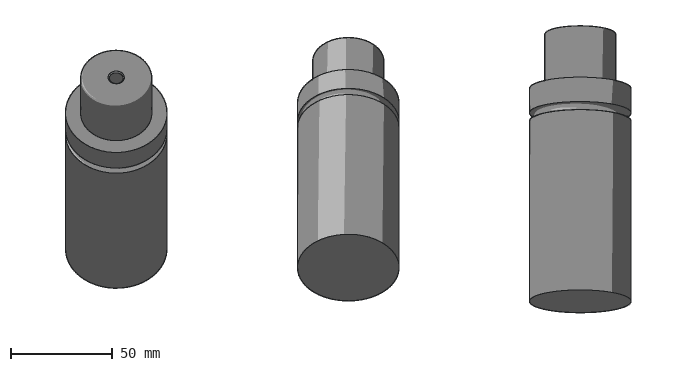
import cadquery as cq
import math

total_height = 135.0
body_diameter = 50.0
body_radius = body_diameter / 2

spigot_diameter = 35.1
spigot_height = 27.8
spigot_rim_radius = 1.0
shoulder_z = total_height - spigot_height

collar_height = 12.3
groove_radius = 2.0
groove_z = shoulder_z - collar_height - groove_radius

hole_diameter = 6.8
hole_mouth_diameter = 8.0
hole_depth = 20.2
drill_point_angle = 118.0


def make_body():
    """Cylindrical body with the rounded spigot standing on it."""
    body = cq.Workplane("XY").circle(body_radius).extrude(shoulder_z)
    spigot = (
        cq.Workplane("XY")
        .workplane(offset=shoulder_z)
        .circle(spigot_diameter / 2)
        .extrude(spigot_height)
        .faces(">Z")
        .edges()
        .fillet(spigot_rim_radius)
    )
    return body.union(spigot)


def make_groove():
    """Ring of circular section centred on the body surface."""
    return cq.Workplane("XY").add(
        cq.Solid.makeTorus(body_radius, groove_radius, cq.Vector(0, 0, groove_z))
    )


def make_hole():
    """Drilled hole with a 45 degree mouth and a conical bottom."""
    radius = hole_diameter / 2
    mouth_radius = hole_mouth_diameter / 2
    mouth_z = total_height - (mouth_radius - radius)
    bottom_z = total_height - hole_depth
    point_length = radius / math.tan(math.radians(drill_point_angle / 2))
    return (
        cq.Workplane("XZ")
        .moveTo(0, total_height)
        .lineTo(mouth_radius, total_height)
        .lineTo(radius, mouth_z)
        .lineTo(radius, bottom_z)
        .lineTo(0, bottom_z - point_length)
        .close()
        .revolve(360, (0, 0, 0), (0, 1, 0))
    )


result = make_body().cut(make_groove()).cut(make_hole())